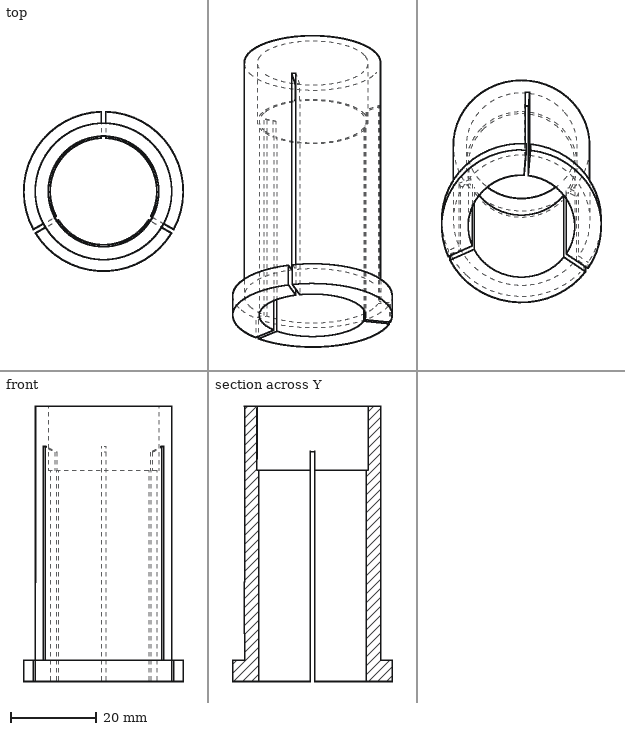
import cadquery as cq

height = 64.6
flange_diameter = 37.5
flange_thickness = 5.05
tube_diameter = 32.05

upper_bore_diameter = 26.0
upper_bore_depth = 15.0
lower_bore_diameter = 25.0

slot_count = 3
slot_width = 1.0
slot_top_gap = 9.35
slot_end_drop = 1.35
first_slot_angle = 90.0


def cylinder(diameter, length, base_z=0.0):
    return cq.Workplane("XY").workplane(offset=base_z).circle(diameter / 2).extrude(length)


def slot_cutter(angle):
    """Radial slab open at the bottom and rim, its top sloping down toward the bore."""
    bore_radius = upper_bore_diameter / 2
    tube_radius = tube_diameter / 2
    outer_top = height - slot_top_gap
    inner_top = outer_top - slot_end_drop
    profile = [
        (0, 0),
        (flange_diameter, 0),
        (flange_diameter, outer_top),
        (tube_radius, outer_top),
        (bore_radius, inner_top),
        (0, inner_top),
    ]
    return (
        cq.Workplane("XZ")
        .polyline(profile)
        .close()
        .extrude(slot_width / 2, both=True)
        .rotate((0, 0, 0), (0, 0, 1), angle)
    )


body = cylinder(flange_diameter, flange_thickness).union(cylinder(tube_diameter, height))

body = body.cut(cylinder(lower_bore_diameter, height))
body = body.cut(cylinder(upper_bore_diameter, upper_bore_depth, height - upper_bore_depth))

for index in range(slot_count):
    body = body.cut(slot_cutter(first_slot_angle + index * 360.0 / slot_count))

result = body